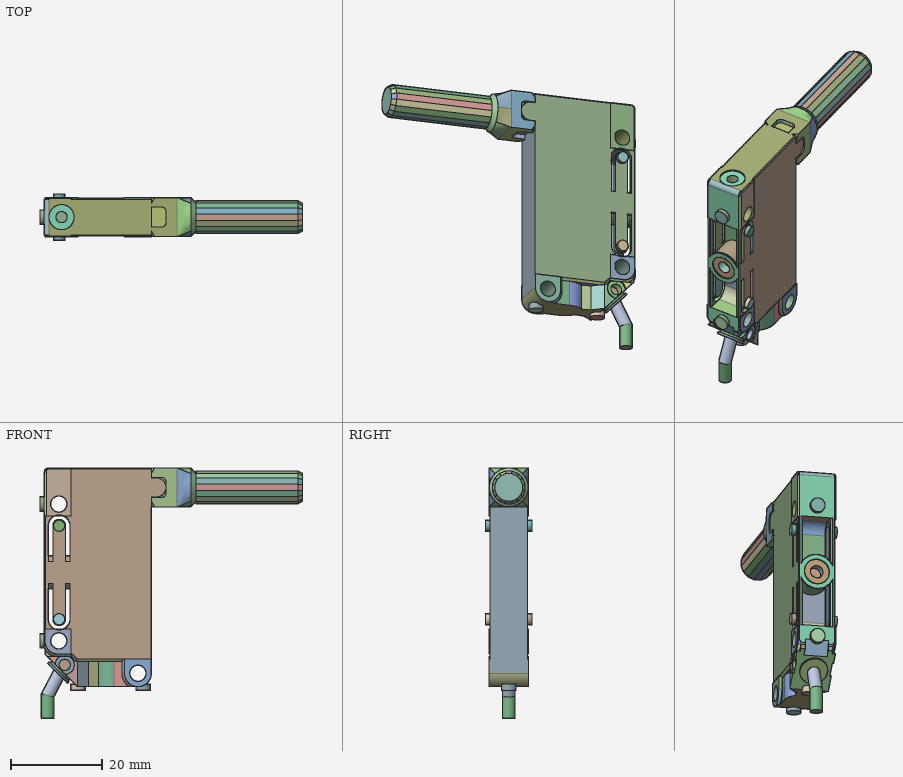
import cadquery as cq
import math


HOUSING_LENGTH = 23.5
HOUSING_HALF_WIDTH = 4.15
HOUSING_EDGE_CHAMFER = 0.25
FRONT_TOP_RADIUS = 1.0
LOWER_BAND = 0.55
RIM_HALF_WIDTH = 4.35
FLOOR_Z = -41.9
BASE_Z = -48.0
MOUNT_HOLE_DIAMETER = 3.5
MOUNT_X = 3.2
UPPER_MOUNT_Z = -7.95
MOUNT_SPACING = 30.0
LOWER_MOUNT_Z = UPPER_MOUNT_Z - MOUNT_SPACING
SENSOR_Z = (UPPER_MOUNT_Z + LOWER_MOUNT_Z) / 2
CORNER_RADIUS = 2.9

PAD_FRONT = 0.2
PAD_BACK = 5.9
UPPER_PAD_BOTTOM = -10.6
LOWER_PAD_TOP = 2 * SENSOR_Z - UPPER_PAD_BOTTOM
LOWER_PAD_BOTTOM = -40.8

LUG_RADIUS = 2.95
LUG_X = HOUSING_LENGTH - LUG_RADIUS
LUG_Z = BASE_Z + LUG_RADIUS

SKIRT_HALF_WIDTH = HOUSING_HALF_WIDTH - LOWER_BAND
CORNER_CUT_HALF_WIDTH = 2.6
CORNER_CUT_TOP = -38.7
CORNER_CUT_BOTTOM = -42.0
BLOCK_BACK = 7.3
CORNER_START_Z = BASE_Z + BLOCK_BACK
GROOVE_RAMP_X = 9.7
GROOVE_RAMP_Y = 2.3
GROOVE_FLOOR_Y = 2.0
BULGE_X = 15.3
BULGE_RADIUS = 4.5

WINDOW_HALF_WIDTH = 3.15
MOUTH_HALF_WIDTH = 3.58
MOUTH_DEPTH = 0.4
WINDOW_DEPTH = 5.68
WINDOW_END = 12.5
WINDOW_END_RADIUS = 2.4
SENSOR_CORE_DIAMETER = 7.35
SENSOR_RIM_DIAMETER = 7.8
SLOT_OUTER_RADIUS = 2.37
SLOT_INNER_RADIUS = 1.4
SLOT_X = 3.28
SLOT_NEAR = 2.45
SLOT_FAR = 10.25
PIN_DIAMETER = 2.46
PIN_TIP_Y = 5.1

BUTTON_DIAMETER = 3.2
FRONT_BUTTON_HEIGHT = 0.95
BASE_BUTTON_HEIGHT = 0.8
BUTTON_ROOT = 0.6
BASE_BUTTON_XS = (7.4, 21.7)
RECESS_DEPTH = 0.3
HOLE_DEPTH = 2.5
TOP_RECESS_X = 3.8
TOP_RECESS_DIAMETER = 5.5
TOP_HOLE_DIAMETER = 2.46
SENSOR_RECESS_DIAMETER = 5.6
SENSOR_HOLE_DIAMETER = 2.8
CABLE_RECESS_DIAMETER = 4.2
CABLE_HOLE_DIAMETER = 2.46

PLUG_SIDE = 8.6
PLUG_AXIS_Z = -PLUG_SIDE / 2
PLUG_TAPER_X = 29.1
PLUG_END_X = 32.2
PLUG_END_DIAMETER = 8.5
PLUG_CORNER_RADIUS = 5.3
SLEEVE_X = 33.3
SLEEVE_CHAMFER_X = 55.6
SLEEVE_END_X = 56.65
SLEEVE_DIAMETER = 7.35
SLEEVE_TIP_DIAMETER = 6.18
SLEEVE_NECK_DIAMETER = 6.2
SLEEVE_SIDES = 16
LATCH_WINDOW_LENGTH = 3.2
LATCH_WINDOW_WIDTH = 4.4
LATCH_WINDOW_DEPTH = 1.0
LATCH_WINDOW_RADIUS = 1.0
LATCH_DIAMETER = 4.2

CABLE_DIAMETER = 2.8
CABLE_X = 0.75
CABLE_BEND_Z = -49.9
CABLE_END_Z = -54.95
GLAND_X = 3.65
GLAND_Z = CORNER_START_Z - GLAND_X
GLAND_DIAMETER = 5.5
GLAND_LENGTH = 1.0
FLANGE_DIAMETER = 6.2
FLANGE_THICKNESS = 0.5
CABLE_HOLE_X = 4.5
CABLE_HOLE_Z = -43.2


def box(x0, x1, half_y, z0, z1):
    """Box centred on the middle plane in Y."""
    return cq.Workplane("XY").box(
        x1 - x0, 2 * half_y, z1 - z0, centered=(False, True, False)
    ).translate((x0, 0, z0))


def cylinder(diameter, length, start, direction):
    return cq.Workplane(cq.Solid.makeCylinder(
        diameter / 2, length, cq.Vector(*start), cq.Vector(*direction)))


def cross_bar(diameter, x, z, half_y):
    """Cylinder along Y, centred on the middle plane."""
    return cylinder(diameter, 2 * half_y, (x, -half_y, z), (0, 1, 0))


def side_extrusion(profile, half_y):
    return profile.extrude(half_y, both=True)


def both_ends(feature):
    """The feature and its mirror image about the sensor centre height."""
    mirrored = feature.mirror("XY", (0, 0, SENSOR_Z))
    return feature.union(mirrored)


def main_housing():
    """Flat body; its lower outline is extended by the band and then bevelled back at both sides."""
    bottom = LOWER_PAD_BOTTOM - LOWER_BAND
    floor = FLOOR_Z - LOWER_BAND
    step = bottom - floor
    corner_z = bottom + CORNER_RADIUS
    arc_offset = CORNER_RADIUS * math.sqrt(0.5)
    corner_x = CORNER_RADIUS - PAD_FRONT
    arc_end_z = corner_z - math.sqrt(CORNER_RADIUS ** 2 - corner_x ** 2)
    profile = (
        cq.Workplane("XZ")
        .moveTo(0, 0)
        .lineTo(HOUSING_LENGTH, 0)
        .lineTo(HOUSING_LENGTH, floor)
        .lineTo(PAD_BACK + step, floor)
        .lineTo(PAD_BACK, bottom)
        .lineTo(corner_x, bottom)
        .threePointArc((corner_x - arc_offset, corner_z - arc_offset), (0, arc_end_z))
        .close()
    )
    housing = side_extrusion(profile, HOUSING_HALF_WIDTH)
    housing = housing.edges("<X and >Z").fillet(FRONT_TOP_RADIUS)
    housing = housing.faces(">Z").edges("|X").chamfer(HOUSING_EDGE_CHAMFER)
    lower_region = cq.selectors.BoxSelector(
        (PAD_FRONT, -RIM_HALF_WIDTH, BASE_Z), (HOUSING_LENGTH - PAD_FRONT, RIM_HALF_WIDTH, LOWER_MOUNT_Z))
    for side in ("<Y", ">Y"):
        housing = housing.faces(side).edges(lower_region).chamfer(LOWER_BAND)
    return housing


def mount_pads():
    upper = box(PAD_FRONT, PAD_BACK, RIM_HALF_WIDTH, UPPER_PAD_BOTTOM, 0)
    upper = upper.edges("<X and >Z").fillet(FRONT_TOP_RADIUS - PAD_FRONT)
    upper = upper.faces(">Z").edges("|X").chamfer(HOUSING_EDGE_CHAMFER)
    lower = box(PAD_FRONT, PAD_BACK, RIM_HALF_WIDTH, LOWER_PAD_BOTTOM, LOWER_PAD_TOP)
    lower = lower.edges("<X and <Z").fillet(CORNER_RADIUS - PAD_FRONT)
    return upper.union(lower)


def skirt_groove():
    """Plan-shaped cutter: a ramp down from the cable block, then up over the rounded bulge."""
    bulge_centre_y = SKIRT_HALF_WIDTH - BULGE_RADIUS

    def bulge_point(y):
        return (BULGE_X - math.sqrt(BULGE_RADIUS ** 2 - (y - bulge_centre_y) ** 2), y)

    middle_y = (GROOVE_FLOOR_Y + SKIRT_HALF_WIDTH) / 2
    return (
        cq.Workplane("XY", origin=(0, 0, BASE_Z))
        .moveTo(BLOCK_BACK, RIM_HALF_WIDTH)
        .lineTo(GROOVE_RAMP_X, GROOVE_RAMP_Y)
        .lineTo(*bulge_point(GROOVE_FLOOR_Y))
        .threePointArc(bulge_point(middle_y), (BULGE_X, SKIRT_HALF_WIDTH))
        .lineTo(BULGE_X, RIM_HALF_WIDTH)
        .close()
        .extrude(FLOOR_Z - LOWER_BAND - BASE_Z)
    )


def skirt():
    base = box(BLOCK_BACK, LUG_X, SKIRT_HALF_WIDTH, BASE_Z, FLOOR_Z)
    rib_profile = (
        cq.Workplane("XZ")
        .moveTo(PAD_FRONT, LOWER_MOUNT_Z)
        .lineTo(PAD_FRONT, CORNER_START_Z - PAD_FRONT)
        .lineTo(BLOCK_BACK, BASE_Z)
        .lineTo(BLOCK_BACK, LOWER_MOUNT_Z)
        .close()
    )
    block_top = LOWER_PAD_BOTTOM - LOWER_BAND
    groove_top = FLOOR_Z - LOWER_BAND
    block_profile = (
        cq.Workplane("XZ")
        .moveTo(CORNER_START_Z - block_top, block_top)
        .lineTo(PAD_BACK, block_top)
        .lineTo(PAD_BACK + block_top - groove_top, groove_top)
        .lineTo(GROOVE_RAMP_X, groove_top)
        .lineTo(GROOVE_RAMP_X, BASE_Z)
        .lineTo(BLOCK_BACK, BASE_Z)
        .close()
    )
    base = base.union(side_extrusion(block_profile, RIM_HALF_WIDTH))
    groove = skirt_groove()
    base = base.cut(groove).cut(groove.mirror("XZ"))
    return base.union(side_extrusion(rib_profile, SKIRT_HALF_WIDTH))


def corner_relief():
    """Wedge cut from the lower front corner, down to the 45 degree face."""
    profile = (
        cq.Workplane("XZ")
        .moveTo(0, CORNER_CUT_TOP)
        .lineTo(0, CORNER_CUT_BOTTOM)
        .lineTo(CORNER_START_Z - CORNER_CUT_BOTTOM, CORNER_CUT_BOTTOM)
        .close()
    )
    return side_extrusion(profile, CORNER_CUT_HALF_WIDTH)


def rear_lug():
    """Round lug, flush with the back and the base, with a sloped rim on its front half."""
    rim_radius = LUG_RADIUS + LOWER_BAND
    profile = (
        cq.Workplane("XZ")
        .moveTo(LUG_X - rim_radius, FLOOR_Z)
        .lineTo(LUG_X - rim_radius, LUG_Z)
        .threePointArc((LUG_X, LUG_Z - rim_radius), (LUG_X + rim_radius, LUG_Z))
        .lineTo(LUG_X + rim_radius, FLOOR_Z)
        .close()
    )
    lug = side_extrusion(profile, RIM_HALF_WIDTH)
    for side in ("<Y", ">Y"):
        lug = lug.faces(side).edges("not >Z").chamfer(LOWER_BAND)
    lug = lug.intersect(box(0, LUG_X, RIM_HALF_WIDTH, BASE_Z, 0))
    lug = lug.union(box(LUG_X, HOUSING_LENGTH, RIM_HALF_WIDTH, LUG_Z, FLOOR_Z))
    return lug.union(cross_bar(2 * LUG_RADIUS, LUG_X, LUG_Z, RIM_HALF_WIDTH))


def window():
    """Upper front window; its inner end follows the round sensor core and rim."""
    top = SENSOR_Z + WINDOW_END
    pocket = box(0, WINDOW_DEPTH, WINDOW_HALF_WIDTH, SENSOR_Z, top)
    pocket = pocket.edges(">X and >Z").fillet(WINDOW_END_RADIUS)
    pocket = pocket.union(box(0, MOUTH_DEPTH, MOUTH_HALF_WIDTH, SENSOR_Z, top))
    core = cylinder(SENSOR_CORE_DIAMETER, WINDOW_DEPTH, (0, 0, SENSOR_Z), (1, 0, 0))
    rim = cylinder(SENSOR_RIM_DIAMETER, MOUTH_DEPTH, (0, 0, SENSOR_Z), (1, 0, 0))
    return pocket.cut(core).cut(rim)


def tongue_slot():
    """U-shaped slot through both side walls, leaving a spring tongue inside it."""
    arc_z = SENSOR_Z + SLOT_FAR
    start_z = SENSOR_Z + SLOT_NEAR

    def arch(radius):
        straight = box(SLOT_X - radius, SLOT_X + radius, HOUSING_HALF_WIDTH, start_z, arc_z)
        return straight.union(cross_bar(2 * radius, SLOT_X, arc_z, HOUSING_HALF_WIDTH))

    slot = arch(SLOT_OUTER_RADIUS).cut(arch(SLOT_INNER_RADIUS))
    core = box(0, HOUSING_LENGTH, WINDOW_HALF_WIDTH, start_z, arc_z + SLOT_OUTER_RADIUS)
    return slot.cut(core)


def tongue_pins():
    pins = cq.Workplane("XY")
    length = PIN_TIP_Y - WINDOW_HALF_WIDTH
    for side in (-1, 1):
        start = (SLOT_X, side * WINDOW_HALF_WIDTH, SENSOR_Z + SLOT_FAR)
        pins = pins.union(cylinder(PIN_DIAMETER, length, start, (0, side, 0)))
    return pins


def buttons():
    group = cq.Workplane("XY")
    front_length = FRONT_BUTTON_HEIGHT + BUTTON_ROOT
    for z in (UPPER_MOUNT_Z, LOWER_MOUNT_Z):
        start = (-FRONT_BUTTON_HEIGHT, 0, z)
        group = group.union(cylinder(BUTTON_DIAMETER, front_length, start, (1, 0, 0)))
    base_length = BASE_BUTTON_HEIGHT + BUTTON_ROOT
    for x in BASE_BUTTON_XS:
        start = (x, 0, BASE_Z - BASE_BUTTON_HEIGHT)
        group = group.union(cylinder(BUTTON_DIAMETER, base_length, start, (0, 0, 1)))
    return group


def stepped_hole(recess_diameter, hole_diameter, start, direction):
    recess = cylinder(recess_diameter, RECESS_DEPTH, start, direction)
    return recess.union(cylinder(hole_diameter, HOLE_DEPTH, start, direction))


def plug():
    length = PLUG_TAPER_X - HOUSING_LENGTH
    body = (
        cq.Workplane("YZ", origin=(HOUSING_LENGTH, 0, PLUG_AXIS_Z))
        .rect(PLUG_SIDE, PLUG_SIDE)
        .extrude(length)
    )
    trim = cq.Workplane(cq.Solid.makeCone(
        PLUG_CORNER_RADIUS, PLUG_CORNER_RADIUS + length, length,
        cq.Vector(HOUSING_LENGTH, 0, PLUG_AXIS_Z), cq.Vector(1, 0, 0)))
    body = body.intersect(trim)
    taper = (
        cq.Workplane("YZ", origin=(PLUG_TAPER_X, 0, PLUG_AXIS_Z))
        .rect(PLUG_SIDE, PLUG_SIDE)
        .workplane(offset=PLUG_END_X - PLUG_TAPER_X)
        .circle(PLUG_END_DIAMETER / 2)
        .loft(combine=True)
    )
    half = PLUG_SIDE / 2
    cutter = (
        box(0, LATCH_WINDOW_LENGTH, LATCH_WINDOW_WIDTH / 2, half - LATCH_WINDOW_DEPTH, half)
        .edges("|Z and >X").fillet(LATCH_WINDOW_RADIUS)
    )
    for quarter in range(4):
        turned = cutter.rotate((0, 0, 0), (1, 0, 0), 90 * quarter)
        body = body.cut(turned.translate((HOUSING_LENGTH, 0, PLUG_AXIS_Z)))
    return body.union(taper)


def latches():
    """Round-ended tabs of the housing that snap into the plug's side windows."""
    tip = HOUSING_LENGTH + LATCH_WINDOW_LENGTH - LATCH_DIAMETER / 2
    bar = cross_bar(LATCH_DIAMETER, tip, PLUG_AXIS_Z, HOUSING_HALF_WIDTH)
    half = LATCH_DIAMETER / 2
    return bar.union(box(HOUSING_LENGTH, tip, HOUSING_HALF_WIDTH, PLUG_AXIS_Z - half, PLUG_AXIS_Z + half))


def sleeve():
    neck = (
        cq.Workplane("YZ", origin=(PLUG_END_X, 0, PLUG_AXIS_Z))
        .circle(PLUG_END_DIAMETER / 2)
        .workplane(offset=SLEEVE_X - PLUG_END_X)
        .circle(SLEEVE_NECK_DIAMETER / 2)
        .loft(combine=True)
    )
    half_step = 180 / SLEEVE_SIDES
    grip = (
        cq.Workplane("YZ", origin=(SLEEVE_X, 0, PLUG_AXIS_Z))
        .transformed(rotate=(0, 0, half_step))
        .polygon(SLEEVE_SIDES, SLEEVE_DIAMETER)
        .extrude(SLEEVE_CHAMFER_X - SLEEVE_X)
    )
    tip = (
        cq.Workplane("YZ", origin=(SLEEVE_CHAMFER_X, 0, PLUG_AXIS_Z))
        .transformed(rotate=(0, 0, half_step))
        .polygon(SLEEVE_SIDES, SLEEVE_DIAMETER)
        .workplane(offset=SLEEVE_END_X - SLEEVE_CHAMFER_X)
        .polygon(SLEEVE_SIDES, SLEEVE_TIP_DIAMETER)
        .loft(combine=True)
    )
    return neck.union(grip).union(tip)


def cable():
    outward = (-math.sqrt(0.5), 0, -math.sqrt(0.5))
    gland = cylinder(GLAND_DIAMETER, GLAND_LENGTH, (GLAND_X, 0, GLAND_Z), outward)
    flange_gap = GLAND_LENGTH - FLANGE_THICKNESS
    flange_start = (GLAND_X + flange_gap * outward[0], 0, GLAND_Z + flange_gap * outward[2])
    flange = cylinder(FLANGE_DIAMETER, FLANGE_THICKNESS, flange_start, outward)
    path = (
        cq.Workplane("XZ")
        .moveTo(CABLE_X, CABLE_END_Z)
        .lineTo(CABLE_X, CABLE_BEND_Z)
        .lineTo(GLAND_X, GLAND_Z)
    )
    wire = (
        cq.Workplane("XY", origin=(CABLE_X, 0, CABLE_END_Z))
        .circle(CABLE_DIAMETER / 2)
        .sweep(path, transition="right")
    )
    return gland.union(flange).union(wire)


def build():
    part = main_housing().union(mount_pads()).union(skirt()).union(rear_lug())
    part = part.cut(corner_relief())
    part = part.cut(both_ends(window())).cut(both_ends(tongue_slot()))
    part = part.union(both_ends(tongue_pins())).union(buttons())
    part = part.union(plug()).union(latches()).union(sleeve()).union(cable())
    for x, z in ((MOUNT_X, UPPER_MOUNT_Z), (MOUNT_X, LOWER_MOUNT_Z), (LUG_X, LUG_Z)):
        part = part.cut(cross_bar(MOUNT_HOLE_DIAMETER, x, z, RIM_HALF_WIDTH))
    part = part.cut(stepped_hole(
        TOP_RECESS_DIAMETER, TOP_HOLE_DIAMETER, (TOP_RECESS_X, 0, 0), (0, 0, -1)))
    part = part.cut(stepped_hole(
        SENSOR_RECESS_DIAMETER, SENSOR_HOLE_DIAMETER, (0, 0, SENSOR_Z), (1, 0, 0)))
    for side in (-1, 1):
        start = (CABLE_HOLE_X, side * RIM_HALF_WIDTH, CABLE_HOLE_Z)
        part = part.cut(stepped_hole(
            CABLE_RECESS_DIAMETER, CABLE_HOLE_DIAMETER, start, (0, -side, 0)))
    return part


result = build()